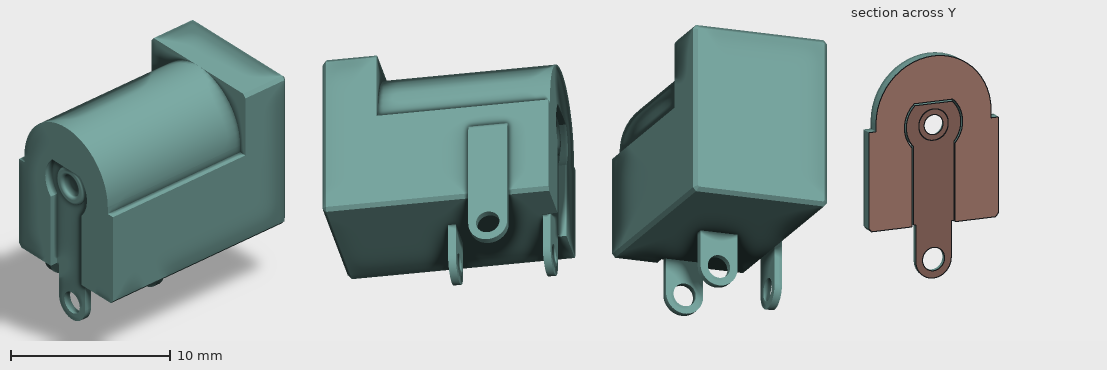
import cadquery as cq


housing_width = 9.0
housing_length = 14.5
barrel_radius = 4.0
barrel_drop = 4.5
leg_reach = 3.5
housing_height = 14.5 - leg_reach
ledge_z = housing_height - barrel_drop
barrel_axis_z = housing_height - barrel_radius
collar_length = 3.5
bevel_side = 0.2
bevel = 0.25

sheet = 0.5
leg_width = 2.5
leg_radius = leg_width / 2
leg_hole_diameter = 1.5
leg_hole_z = leg_radius - leg_reach
side_leg_y = 3.8
side_leg_height = 5.0
side_leg_bend_radius = 0.48
rear_leg_y = 6.8

contact_axis_z = ledge_z
contact_diameter = 3.8
contact_flat = 1.39
contact_neck_width = 2.84
contact_shoulder_z = 0.1
recess_gap = 0.1
recess_neck_gap = 0.051
recess_diameter = contact_diameter + 2 * recess_gap
recess_flat = contact_flat + recess_gap
recess_neck_width = contact_neck_width + 2 * recess_neck_gap
contact_setback = 0.5
recess_depth = contact_setback + sheet

pin_diameter = 2.0
pin_head_diameter = 2.61
pin_head_height = 0.2
pin_bore_diameter = 1.5
pin_bore_depth = 0.5
pin_rim_radius = 0.19
pin_floor_radius = 0.25



def box(x_min, x_max, y_min, y_max, z_min, z_max):
    """Axis-aligned block between the given limits."""
    size = (x_max - x_min, y_max - y_min, z_max - z_min)
    return cq.Workplane("XY").box(*size, centered=False).translate((x_min, y_min, z_min))


def cylinder_y(diameter, axis_z, y_start, length):
    """Cylinder along +Y on the middle plane."""
    plane = cq.Workplane("XZ", origin=(0, y_start, axis_z))
    return plane.circle(diameter / 2).extrude(-length)


def keyhole(diameter, flat, neck_width, neck_bottom_z, y_start, thickness):
    """Flat-topped disc on the contact axis with a straight neck running down from it."""
    radius = diameter / 2
    disc = cylinder_y(diameter, contact_axis_z, y_start, thickness)
    limit = box(-radius, radius, y_start, y_start + thickness,
                contact_axis_z - radius, contact_axis_z + flat)
    neck = box(-neck_width / 2, neck_width / 2, y_start, y_start + thickness,
               neck_bottom_z, contact_axis_z)
    return disc.intersect(limit).union(neck)


def leg(top_z, y_start):
    """Upright strip facing Y, with a round, drilled lower end."""
    strip = box(-leg_radius, leg_radius, y_start, y_start + sheet, leg_hole_z, top_z)
    end = cylinder_y(leg_width, leg_hole_z, y_start, sheet)
    hole = cylinder_y(leg_hole_diameter, leg_hole_z, y_start, sheet)
    return strip.union(end).cut(hole)


def make_housing():
    half = housing_width / 2
    outline = [
        (-half + bevel_side, 0), (half - bevel_side, 0),
        (half, bevel), (half, housing_height - bevel),
        (half - bevel_side, housing_height), (-half + bevel_side, housing_height),
        (-half, housing_height - bevel), (-half, bevel),
    ]
    block = cq.Workplane("XZ").polyline(outline).close().extrude(-housing_length)
    block = block.faces(">Y").chamfer(bevel)

    barrel_length = housing_length - collar_length
    above_ledges = box(-half, half, 0, barrel_length, ledge_z, housing_height)
    barrel = cylinder_y(2 * barrel_radius, barrel_axis_z, 0, barrel_length)
    barrel_base = box(-barrel_radius, barrel_radius, 0, barrel_length, ledge_z, barrel_axis_z)
    recess = keyhole(recess_diameter, recess_flat, recess_neck_width, 0, 0, recess_depth)
    return block.cut(above_ledges.cut(barrel).cut(barrel_base)).cut(recess)


def make_front_contact():
    plate = keyhole(contact_diameter, contact_flat, contact_neck_width, contact_shoulder_z,
                    contact_setback, sheet)
    pin_hole = cylinder_y(pin_diameter, contact_axis_z, contact_setback, sheet)
    return plate.union(leg(contact_axis_z - pin_diameter, contact_setback)).cut(pin_hole)


def make_rear_leg():
    return leg(0, rear_leg_y - sheet / 2)


def make_side_leg():
    strip = leg(side_leg_height, 0).rotate((0, 0, 0), (0, 0, 1), -90)
    strip = strip.translate((-housing_width / 2 - sheet, side_leg_y, 0))
    return strip.edges(">Z and <X").fillet(side_leg_bend_radius)


def make_pin():
    """Shank through the contact, with a rounded head and a blind bore in its end."""
    head_front = contact_setback - pin_head_height
    head = cylinder_y(pin_head_diameter, contact_axis_z, head_front, pin_head_height)
    shank = cylinder_y(pin_diameter, contact_axis_z, contact_setback, sheet)
    bore = cylinder_y(pin_bore_diameter, contact_axis_z, head_front, pin_bore_depth)
    bore = bore.faces(">Y").edges().fillet(pin_floor_radius)
    pin = head.union(shank).cut(bore)
    return pin.faces("<Y").edges().fillet(pin_rim_radius)


housing = make_housing()
front_contact = make_front_contact()
rear_leg = make_rear_leg()
side_leg = make_side_leg()
pin = make_pin()

result = cq.Compound.makeCompound([
    housing.val(), front_contact.val(), rear_leg.val(), side_leg.val(), pin.val(),
])